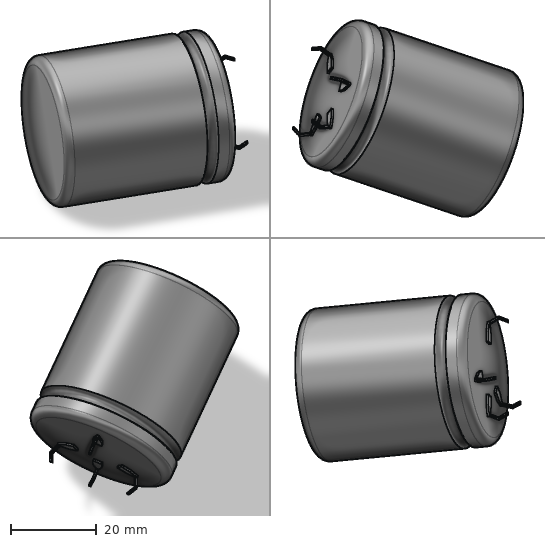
import cadquery as cq
import math

can_diameter = 36.0
total_length = 47.0
pin_length = 5.0
can_length = total_length - pin_length
can_radius = can_diameter / 2
edge_radius = 2.0

groove_radius = 1.35
groove_setback = 6.0

pin_angles = (90, -30, -90, -150)
pin_width = 0.5
pin_thickness = 0.55
pin_inner_radius = 11.05
kink_offset = 1.1
pad_width = 2.2
pad_thickness = 0.5
pad_inner_radius = 6.5
pad_taper_radius = 8.95


def make_can():
    """Grooved can, revolved from its half profile."""
    groove_y = can_length - groove_setback
    face_radius = can_radius - edge_radius
    corner_inset = edge_radius * (1 - math.sqrt(0.5))
    profile = (
        cq.Workplane("XY")
        .lineTo(face_radius, 0)
        .threePointArc((can_radius - corner_inset, corner_inset), (can_radius, edge_radius))
        .lineTo(can_radius, groove_y - groove_radius)
        .threePointArc((can_radius - groove_radius, groove_y), (can_radius, groove_y + groove_radius))
        .lineTo(can_radius, can_length - edge_radius)
        .threePointArc((can_radius - corner_inset, can_length - corner_inset), (face_radius, can_length))
        .lineTo(0, can_length)
        .close()
    )
    return profile.revolve(360, (0, 0, 0), (0, 1, 0))


def make_terminal():
    """Terminal pointing radially along +X, standing on the pin end of the can."""
    pin_outer_radius = pin_inner_radius + pin_thickness
    pad_top_y = can_length + pad_thickness
    kink_y = (pad_top_y + total_length) / 2
    pin = (
        cq.Workplane("XY")
        .polyline([
            (pin_inner_radius, pad_top_y),
            (pin_outer_radius, pad_top_y),
            (pin_outer_radius + kink_offset, kink_y),
            (pin_outer_radius, total_length),
            (pin_inner_radius, total_length),
            (pin_inner_radius + kink_offset, kink_y),
        ])
        .close()
        .extrude(pin_width / 2, both=True)
    )
    pad = (
        cq.Workplane("XZ", origin=(0, can_length, 0))
        .polyline([
            (pad_inner_radius, -pad_width / 2),
            (pad_taper_radius, -pad_width / 2),
            (pin_outer_radius, -pin_width / 2),
            (pin_outer_radius, pin_width / 2),
            (pad_taper_radius, pad_width / 2),
            (pad_inner_radius, pad_width / 2),
        ])
        .close()
        .extrude(-pad_thickness)
    )
    return pad.union(pin)


result = make_can()
terminal = make_terminal()
for angle in pin_angles:
    result = result.union(terminal.rotate((0, 0, 0), (0, 1, 0), -angle))